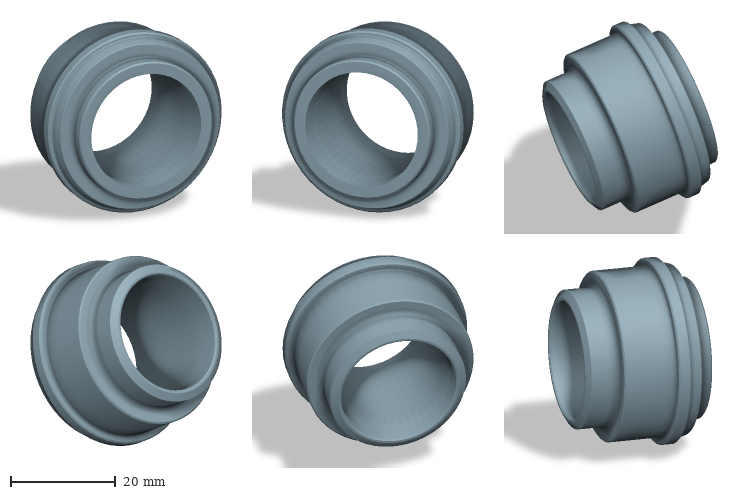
import cadquery as cq
import math

shoulder_x = 6.5
flange_x = 17.0
flange_end_x = 19.5
cone_end_x = 22.0
length = 25.0

flange_radius = 18.0
body_radius = 33.0 / 2
spigot_radius = 26.9 / 2
neck_radius = 27.5 / 2
bore_radius = 22.7 / 2
cone_end_radius = body_radius
cone_angle = math.radians(15)

edge_chamfer = 0.3
spigot_chamfer_length = 0.83
spigot_face_radius = 12.02
shoulder_fillet = 1.0
root_fillet = 0.4
bore_chamfer = 0.25
cone_edge_chamfer = 0.1


def disc(start, end, radius):
    """Solid cylinder on the X axis between two stations."""
    return cq.Workplane("YZ", origin=(start, 0, 0)).circle(radius).extrude(end - start)


def cone(start, end, start_radius, end_radius):
    """Solid truncated cone on the X axis."""
    outline = [(start, 0), (start, start_radius), (end, end_radius), (end, 0)]
    return cq.Workplane("XY").polyline(outline).close().revolve(360, (0, 0, 0), (1, 0, 0))


def root_ring(corner_x, corner_radius, size, side, slope=0.0):
    """Concave fillet ring, reaching inwards to the bore, in the corner between a flat face and a round wall.

    The wall leaves the face towards side (+1 or -1) and falls away by slope radians.
    """
    tangent_length = size * math.tan((math.pi / 2 - slope) / 2)
    center_x = corner_x + side * size
    center_radius = corner_radius + tangent_length
    wall_point = (
        corner_x + side * tangent_length * math.cos(slope),
        corner_radius - tangent_length * math.sin(slope),
    )
    middle_angle = (math.pi / 2 - slope) / 2
    middle_point = (
        center_x - side * size * math.cos(middle_angle),
        center_radius - size * math.sin(middle_angle),
    )
    return (
        cq.Workplane("XY")
        .moveTo(corner_x, bore_radius)
        .lineTo(corner_x, center_radius)
        .threePointArc(middle_point, wall_point)
        .lineTo(wall_point[0], bore_radius)
        .close()
        .revolve(360, (0, 0, 0), (1, 0, 0))
    )


spigot = cone(0, spigot_chamfer_length, spigot_face_radius, spigot_radius)
spigot = spigot.union(disc(spigot_chamfer_length, shoulder_x, spigot_radius))
body = disc(shoulder_x, flange_x, body_radius).faces("<X").chamfer(edge_chamfer)
flange = disc(flange_x, flange_end_x, flange_radius).edges().chamfer(edge_chamfer)
cone_start_radius = cone_end_radius + (cone_end_x - flange_end_x) * math.tan(cone_angle)
taper = cone(flange_end_x, cone_end_x, cone_start_radius, cone_end_radius)
taper = taper.faces(">X").chamfer(cone_edge_chamfer)
neck = disc(cone_end_x, length, neck_radius).faces(">X").chamfer(edge_chamfer)

result = spigot.union(body).union(flange).union(taper).union(neck)

result = result.union(root_ring(shoulder_x, spigot_radius, shoulder_fillet, -1))
result = result.union(root_ring(flange_x, body_radius, root_fillet, -1))
result = result.union(root_ring(flange_end_x, cone_start_radius, root_fillet, 1, cone_angle))
result = result.union(root_ring(cone_end_x, neck_radius, root_fillet, 1))

result = result.cut(disc(0, length, bore_radius))
result = result.cut(cone(0, bore_chamfer, bore_radius + bore_chamfer, bore_radius))